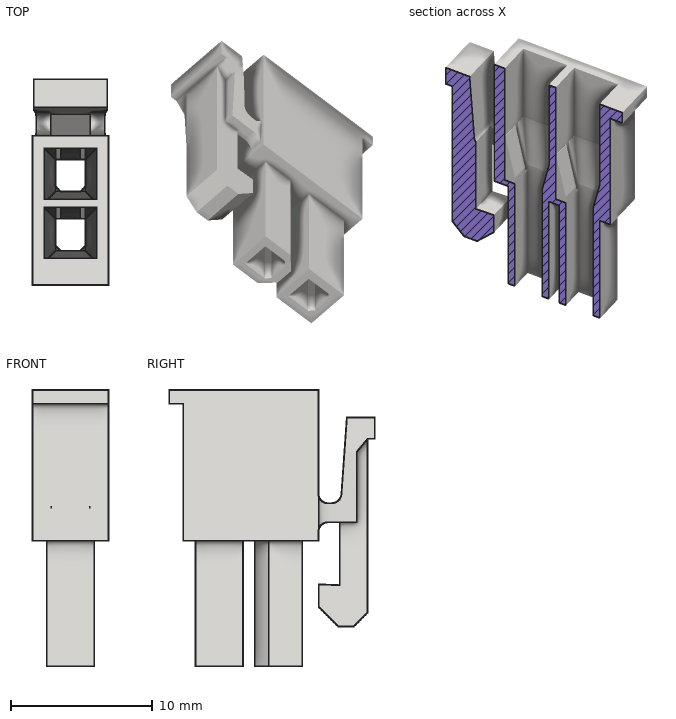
import cadquery as cq


body_width = 5.4
body_depth = 9.6
body_height = 10.7
lip_reach = 1.0
lip_height = 1.0

pitch = 4.2
front_leg_y = 2.56
leg_centres_y = [front_leg_y, front_leg_y + pitch]
leg_size = 3.4
leg_length = 8.9
leg_chamfer = 1.0

pocket_width = 3.7
pocket_depth_y = 3.62
pocket_offset_y = 0.14
bore_width = 2.1
bore_depth_y = 2.25
funnel_inset = (pocket_width - bore_width) / 2
funnel_height = 3.5
funnel_bottom_z = 1.0
funnel_top_z = funnel_bottom_z + funnel_height
step_z = 0.5
bore_corner = 0.35
tongue_half_width = 0.7

spine_half_width = 1.6
window_half_width = 1.4
arm_half_width = 2.33
head_half_width = 2.62
latch_back_y = body_depth + 4.0
latch_top_z = 8.75
head_front_y = 11.6
head_step_z = 7.22
spine_back_y = 13.08
arm_back_y = 12.3
arm_top_z = 6.3
arm_bottom_z = 1.3
spine_front_y = 11.1
arm_foot_y = 11.17
bridge_top_z = 2.67
bridge_fillet = 0.65
arm_root_z = arm_bottom_z - bridge_fillet
arm_foot_fillet = 0.7
hook_root_z = -3.14
hook_tip_z = -3.08
hook_nose_z = -4.68
latch_bottom_z = -6.09
spine_bevel = 1.0
hook_bevel = hook_nose_z - latch_bottom_z


def box(x_range, y_range, z_range):
    """Axis-aligned box given by its (low, high) limits."""
    return cq.Workplane("XY").box(
        x_range[1] - x_range[0],
        y_range[1] - y_range[0],
        z_range[1] - z_range[0],
        centered=False,
    ).translate((x_range[0], y_range[0], z_range[0]))


def centred_span(centre, size):
    return (centre - size / 2, centre + size / 2)


def make_body():
    full_width = centred_span(0, body_width)
    block = box(full_width, (0, body_depth), (0, body_height))
    lip = box(full_width, (-lip_reach, 0), (body_height - lip_height, body_height))
    return block.union(lip)


def make_leg(centre_y):
    return box(centred_span(0, leg_size), centred_span(centre_y, leg_size), (-leg_length, 0))


def make_legs():
    front_y, rear_y = leg_centres_y
    rear_leg = make_leg(rear_y).faces("<Y").edges("|Z").chamfer(leg_chamfer)
    return make_leg(front_y).union(rear_leg)


def make_cavity(centre_y):
    """Terminal cavity: straight pocket, funnel, key slots and a bore down through the leg."""
    pocket_x = centred_span(0, pocket_width)
    pocket_y = centred_span(centre_y + pocket_offset_y, pocket_depth_y)
    pocket = box(pocket_x, pocket_y, (funnel_top_z, body_height))

    funnel = (
        cq.Workplane("XY", origin=(0, centre_y, funnel_bottom_z))
        .rect(bore_width, bore_depth_y)
        .workplane(offset=funnel_height)
        .rect(bore_width + 2 * funnel_inset, bore_depth_y + 2 * funnel_inset)
        .loft(ruled=True)
        .intersect(box(pocket_x, pocket_y, (0, body_height)))
    )

    bore_x = centred_span(0, bore_width)
    bore_y = centred_span(centre_y, bore_depth_y)
    upper_bore = box(bore_x, bore_y, (step_z, funnel_bottom_z))
    lower_bore = box(bore_x, bore_y, (-leg_length, step_z))
    lower_bore = lower_bore.faces("<Y").edges("|Z").chamfer(bore_corner)

    cavity = pocket.union(funnel).union(upper_bore).union(lower_bore)
    slot_y = (centre_y, pocket_y[1])
    slot_z = (step_z, funnel_top_z)
    for slot_x in [(tongue_half_width, bore_width / 2), (-bore_width / 2, -tongue_half_width)]:
        cavity = cavity.union(box(slot_x, slot_y, slot_z))
    return cavity


def make_spine():
    """Narrow strip down the back of the latch, ending in the hook."""
    return (
        cq.Workplane("YZ", origin=(-spine_half_width, 0, 0))
        .moveTo(arm_back_y, arm_top_z)
        .lineTo(spine_back_y, head_step_z)
        .lineTo(spine_back_y, latch_bottom_z + spine_bevel)
        .lineTo(spine_back_y - spine_bevel, latch_bottom_z)
        .lineTo(body_depth + hook_bevel, latch_bottom_z)
        .lineTo(body_depth, hook_nose_z)
        .lineTo(body_depth, hook_tip_z)
        .lineTo(spine_front_y, hook_root_z)
        .lineTo(spine_front_y, bridge_top_z)
        .lineTo(arm_back_y, bridge_top_z)
        .close()
        .extrude(2 * spine_half_width)
    )


def make_latch_frame():
    """Latch head with the two arms that carry it, joined to the body by a bridge."""
    profile = (
        cq.Workplane("YZ", origin=(-head_half_width, 0, 0))
        .moveTo(head_front_y, latch_top_z)
        .lineTo(latch_back_y, latch_top_z)
        .lineTo(latch_back_y, head_step_z)
        .lineTo(spine_back_y, head_step_z)
        .lineTo(arm_back_y, arm_top_z)
        .lineTo(arm_back_y, arm_bottom_z)
        .lineTo(body_depth + bridge_fillet, arm_bottom_z)
        .radiusArc((body_depth, arm_root_z), -bridge_fillet)
        .lineTo(body_depth, bridge_top_z + bridge_fillet)
        .radiusArc((body_depth + bridge_fillet, bridge_top_z), -bridge_fillet)
        .lineTo(arm_foot_y, bridge_top_z)
        .close()
        .extrude(2 * head_half_width)
    )
    foot = cq.selectors.NearestToPointSelector((0, arm_foot_y, bridge_top_z))
    profile = profile.edges("|X").edges(foot).fillet(arm_foot_fillet)

    side_outline = (
        cq.Workplane("XZ", origin=(0, latch_back_y, 0))
        .moveTo(-head_half_width, latch_top_z)
        .lineTo(head_half_width, latch_top_z)
        .lineTo(head_half_width, arm_top_z)
        .lineTo(arm_half_width, arm_root_z)
        .lineTo(-arm_half_width, arm_root_z)
        .lineTo(-head_half_width, arm_top_z)
        .close()
        .extrude(latch_back_y - body_depth)
    )
    window = box(
        centred_span(0, 2 * window_half_width),
        (body_depth, spine_front_y),
        (arm_root_z, arm_top_z),
    )
    return profile.intersect(side_outline).cut(window)


result = make_body().union(make_legs())
for leg_y in leg_centres_y:
    result = result.cut(make_cavity(leg_y))
result = result.union(make_latch_frame()).union(make_spine())